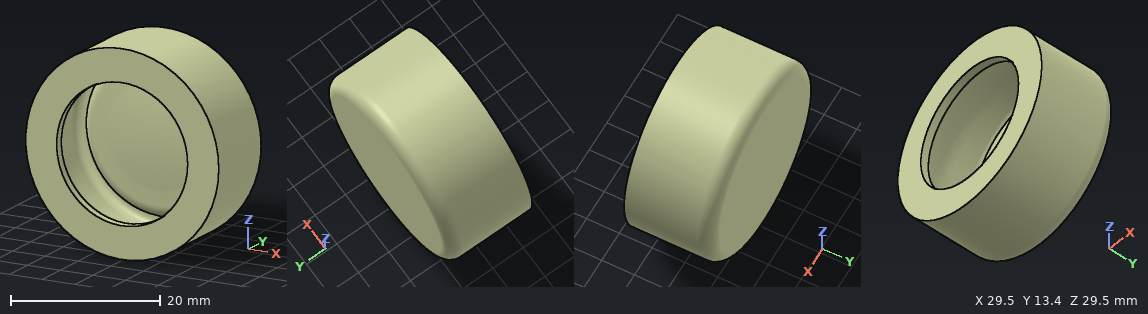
import cadquery as cq
import math

outer_radius = 14.75
depth = 13.42
wall = 1.0
outer_round = 2 * wall

mouth_radius = 10.0
lip_depth = 1.33
flare_start_radius = 11.5
cavity_radius = outer_radius - wall
cavity_start = 7.96
floor_depth = depth - wall
cavity_round = 1.3

pad_depth = 9.9
rim_radius = 9.68
rim_round = 2 * wall
dome_radius = 7.55
dome_edge_rise = 0.15
dome_rise = 0.75

diagonal = math.sqrt(0.5)


def shell():
    """Closed cylinder with its back edge rounded."""
    body = cq.Workplane("XZ").circle(outer_radius).extrude(-depth)
    return body.faces(">Y").edges().fillet(outer_round)


def cavity():
    """Straight mouth, flat step, flaring undercut arc tangent to the straight bore, rounded floor corner."""
    corner = cavity_radius - cavity_round
    flare_width = cavity_radius - flare_start_radius
    flare_length = cavity_start - lip_depth
    flare_radius = (flare_width**2 + flare_length**2) / (2 * flare_width)
    half_angle = math.asin(flare_length / flare_radius) / 2
    flare_mid = (
        cavity_radius - flare_radius * (1 - math.cos(half_angle)),
        cavity_start - flare_radius * math.sin(half_angle),
    )
    return (
        cq.Workplane("XY")
        .lineTo(mouth_radius, 0)
        .lineTo(mouth_radius, lip_depth)
        .lineTo(flare_start_radius, lip_depth)
        .threePointArc(flare_mid, (cavity_radius, cavity_start))
        .lineTo(cavity_radius, floor_depth - cavity_round)
        .threePointArc(
            (corner + cavity_round * diagonal, floor_depth - cavity_round * (1 - diagonal)),
            (corner, floor_depth),
        )
        .lineTo(0, floor_depth)
        .close()
        .revolve(360, (0, 0), (0, 1))
    )


def pad():
    """Floor pad with a shallow dome facing the mouth."""
    cap_height = dome_rise - dome_edge_rise
    dome_sphere = (dome_radius**2 + cap_height**2) / (2 * cap_height)
    pad_base = depth - wall / 2
    apex = pad_depth - dome_rise
    half = dome_radius / 2
    half_rise = dome_sphere - math.sqrt(dome_sphere**2 - half**2)
    return (
        cq.Workplane("XY")
        .moveTo(0, apex)
        .threePointArc((half, apex + half_rise), (dome_radius, pad_depth - dome_edge_rise))
        .threePointArc(
            ((dome_radius + rim_radius) / 2, pad_depth - dome_edge_rise / 4),
            (rim_radius, pad_depth),
        )
        .threePointArc(
            (rim_radius + rim_round * diagonal, pad_depth + rim_round * (1 - diagonal)),
            (rim_radius + rim_round, pad_depth + rim_round),
        )
        .lineTo(rim_radius + rim_round, pad_base)
        .lineTo(0, pad_base)
        .close()
        .revolve(360, (0, 0), (0, 1))
    )


result = shell().cut(cavity()).union(pad())